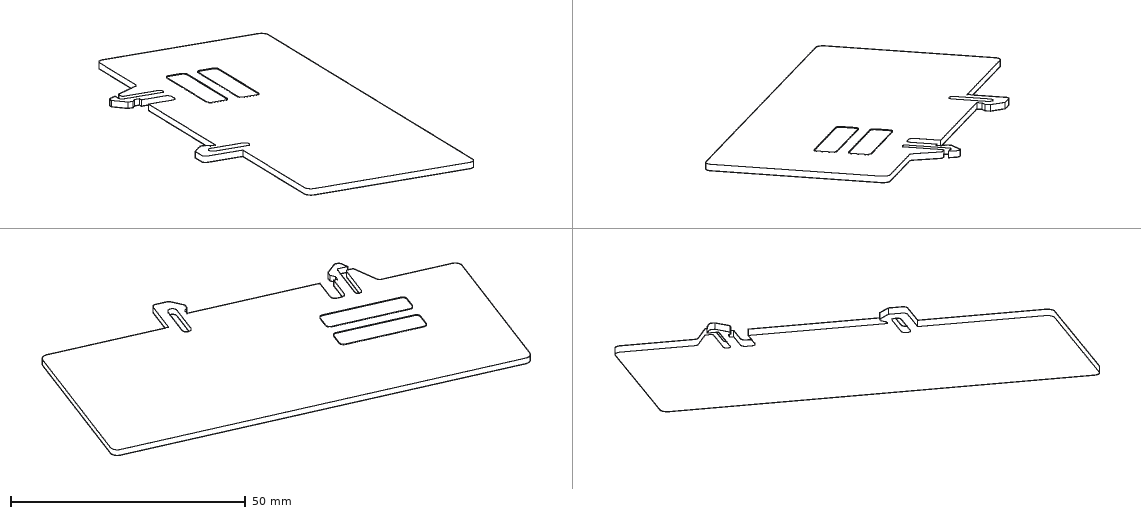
import cadquery as cq

length = 97.0
height = 50.1
thickness = 1.5
corner_radius = 1.65
plate_bottom = 9.4

foot_bottom = 5.8
slot_top = 12.6

notch_bottom = 4.7
barb_top = 3.8
barb_bottom = 2.6
barb_reach = 0.9

spur_start_x = 18.6
spur_tip_x = 21.9
spur_tip_y = 3.2
spur_radius = 0.5
spur_root_radius = 1.0
slit_left = 23.7
slit_width = 1.6
slit_bottom = 2.0
slit_corner_radius = 0.4
slit_end_radius = 0.7
hook_toe_x = 22.7
hook_tip_left = 23.8
hook_tip_radius = 1.0
hook_tip_right = 24.9
left_notch_x = 26.7
relief_left = left_notch_x + barb_reach
relief_width = 3.2
relief_radius = 1.1

right_notch_x = 61.5
right_tip_left = 63.2
right_hook_side = 67.2
right_hook_radius = 1.0
closed_slot_x = 64.0
closed_slot_width = 2.0
closed_slot_bottom = 2.9

label_left = 15.9
label_length = 20.1
label_height = 4.9
label_radius = 1.0
label_depth = 0.2
label_bottoms = [17.6, 25.1]


def prism(points):
    return cq.Workplane("XY").polyline(points).close().extrude(thickness)


def round_corner(solid, x, y, radius):
    corner = cq.selectors.NearestToPointSelector((x, y, thickness / 2))
    return solid.edges("|Z").edges(corner).fillet(radius)


def rounded_box(left, bottom, width, depth, tall, radius):
    box = cq.Workplane("XY").box(width, depth, tall, centered=False)
    return box.edges("|Z").fillet(radius).translate((left, bottom, 0))


def make_spur():
    points = [
        (spur_start_x, plate_bottom),
        (spur_tip_x, spur_tip_y),
        (slit_left, spur_tip_y),
        (slit_left, plate_bottom),
    ]
    return prism(points).faces("<Y").edges("|Z").fillet(spur_radius)


def make_left_hook():
    slit_right = slit_left + slit_width
    points = [
        (slit_right, plate_bottom),
        (slit_right, slit_bottom),
        (hook_toe_x, slit_bottom),
        (hook_tip_left, 0),
        (hook_tip_right, 0),
        (relief_left, barb_bottom),
        (relief_left, barb_top),
        (left_notch_x, notch_bottom),
        (left_notch_x, foot_bottom),
        (relief_left, foot_bottom),
        (relief_left, plate_bottom),
    ]
    hook = round_corner(prism(points), slit_right, slit_bottom, slit_corner_radius)
    return round_corner(hook, hook_tip_left, 0, hook_tip_radius)


def make_foot_and_right_hook():
    barb_x = right_notch_x - barb_reach
    points = [
        (relief_left + relief_width, plate_bottom),
        (relief_left + relief_width, foot_bottom),
        (right_notch_x, foot_bottom),
        (right_notch_x, notch_bottom),
        (barb_x, barb_top),
        (barb_x, barb_bottom),
        (right_tip_left, 0),
        (right_hook_side, 0),
        (right_hook_side, plate_bottom),
    ]
    return round_corner(prism(points), right_hook_side, 0, right_hook_radius)


def make_open_slot(left, width, radius):
    slot = cq.Workplane("XY").box(width, slot_top - plate_bottom, thickness, centered=False)
    return slot.edges("|Z and >Y").fillet(radius).translate((left, plate_bottom, 0))


def make_closed_slot():
    slot_length = slot_top - closed_slot_bottom
    middle_y = (slot_top + closed_slot_bottom) / 2
    slot = cq.Workplane("XY").center(closed_slot_x, middle_y)
    return slot.slot2D(slot_length, closed_slot_width, 90).extrude(thickness)


plate = rounded_box(0, plate_bottom, length, height - plate_bottom, thickness, corner_radius)
plate = plate.cut(make_open_slot(slit_left, slit_width, slit_end_radius))
plate = plate.cut(make_open_slot(relief_left, relief_width, relief_radius))

result = plate.union(make_spur()).union(make_left_hook()).union(make_foot_and_right_hook())
result = round_corner(result, spur_start_x, plate_bottom, spur_root_radius)
result = result.cut(make_closed_slot())

for label_bottom in label_bottoms:
    recess = rounded_box(label_left, label_bottom, label_length, label_height, label_depth, label_radius)
    result = result.cut(recess.translate((0, 0, thickness - label_depth)))